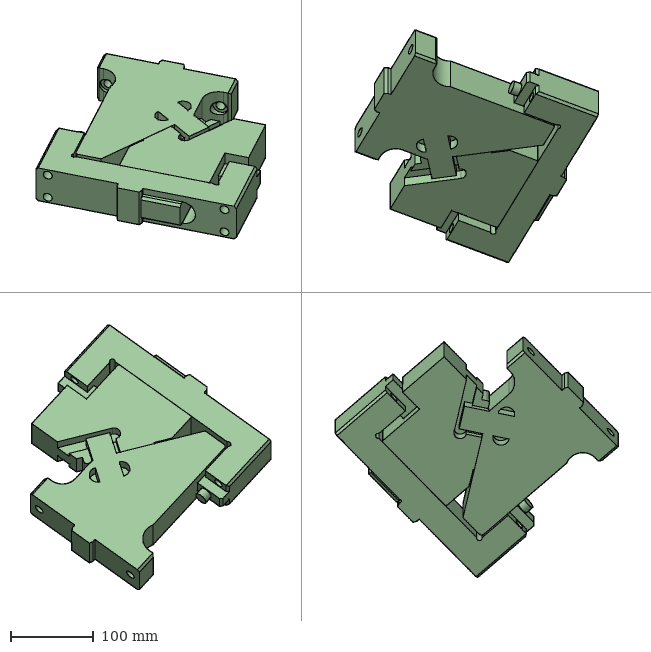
import cadquery as cq
import math

thickness = 50.0
half_thickness = thickness / 2
edge_chamfer = 3.0
tongue_thickness = 19.8
core_half = tongue_thickness / 2

key_width = 31.5
key_height = 8.2
key_lead_in_depth = 4.0
key_lead_in_width = 2.0

base_width = 255.0
base_floor = 35.2
arm_top = 82.8
arm_inner_left = 35.5
arm_inner_right = 219.5
relief_radius = 3.3
relief_inset = 1.8
bar_bottom = 70.5
bar_top = 95.3
base_key_center = 120.3
screw_hole_diameter = 11.3
screw_hole_inset = 15.2
screw_hole_height = 17.0
stop_pin_diameter = 16.0
stop_pin_top = 105.4
bolt_x = 24.0

slider_left = 95.0
slider_foot_right = 209.5
slider_right = 239.5
slider_shoulder = 97.0
slider_top = 165.0
slider_corner_chamfer = 1.3
slide_key_height = 32.5
slide_key_right = 186.0
slide_key_chamfer_width = 2.5
slide_slot_end = 202.8
nose_length = 11.3
nose_step = 10.0
nose_radius = 3.3
foot_relief = 1.5
contact_end_y = 92.5

flange_center = 95.0
flange_width = 170.1
flange_bottom = 210.7
driver_top = 240.5
driver_left = 37.3
driver_right = 150.5
driver_bottom = 40.3
driver_corner_chamfer = 2.0
neck_radius = 20.5
counterbore_diameter = 19.8
counterbore_floor = 215.0
bolt_hole_diameter = 11.8

slope_angle = 55.0
slope_foot_x = 70.2
hook_top = 1.5
hook_width = 30.0
hook_bottom = hook_top - hook_width
hook_reach = 29.3
hook_root = 5.1
lip_half = 16.7
lip_width = 19.5
slot_width = 15.0
slot_clearance = 5.0
lip_clearance = 5.0
corner_relief_radius = 10.0
corner_relief_setback = 22.5

slope_tan = math.tan(math.radians(slope_angle))
slope_cos = math.cos(math.radians(slope_angle))
slope_sin = math.sin(math.radians(slope_angle))
slope_head_y = driver_bottom + (driver_right - slope_foot_x) * slope_tan
past_slider = 51.5

joint_plane = cq.Plane(
    origin=(driver_right, slope_head_y, 0),
    xDir=(slope_sin, -slope_cos, 0),
    normal=(0, 0, 1),
)


def joint_point(across, along):
    """X and Y of a point given in the joint frame."""
    return (
        driver_right + across * slope_sin + along * slope_cos,
        slope_head_y - across * slope_cos + along * slope_sin,
    )


def slope_x(y, across=0.0):
    """X on the line parallel to the slope, offset into the slider, at a height Y."""
    return driver_right + (y - slope_head_y) / slope_tan + across / slope_sin


def box(x0, x1, y0, y1, half_height):
    """A box centred on the mid plane."""
    return (
        cq.Workplane("XY")
        .box(x1 - x0, y1 - y0, 2 * half_height)
        .translate(((x0 + x1) / 2, (y0 + y1) / 2, 0))
    )


def prism(points, half_height=half_thickness):
    """An outline in X and Y, extruded to both sides of the mid plane."""
    return cq.Workplane("XY").polyline(points).close().extrude(half_height, both=True)


def joint_layer(x0, x1, y0, y1, z_bottom):
    """A rectangle in the joint frame, from z_bottom up to the outer face."""
    return (
        cq.Workplane(joint_plane)
        .workplane(offset=z_bottom)
        .center((x0 + x1) / 2, (y0 + y1) / 2)
        .rect(x1 - x0, y1 - y0)
        .extrude(half_thickness - z_bottom)
    )


def both_sides(upper):
    """The shape above the mid plane and its mirror image below, as a list of solids."""
    return [upper, upper.mirror("XY")]


def along_y(x, z, diameter, y0, y1):
    """A cylinder along Y."""
    return (
        cq.Workplane("XZ", origin=(x, y0, z))
        .circle(diameter / 2)
        .extrude(y0 - y1)
    )


def locating_key(center_x, face_y, outward):
    """A key with lead-in chamfers on the mounting face at face_y, pointing to outward (+1 or -1)."""
    half = key_width / 2
    shoulder_y = face_y + outward * (key_height - key_lead_in_depth)
    tip_y = face_y + outward * key_height
    return prism([
        (center_x - half, face_y),
        (center_x - half, shoulder_y),
        (center_x - half + key_lead_in_width, tip_y),
        (center_x + half - key_lead_in_width, tip_y),
        (center_x + half, shoulder_y),
        (center_x + half, face_y),
    ])


def crossbar():
    """The tongue that joins the two arms of the base."""
    bar = box(0, base_width, bar_bottom, bar_top, core_half)
    return bar.edges("|Z and <X and >Y").chamfer(edge_chamfer)


def make_base():
    body = box(0, base_width, 0, arm_top, half_thickness)
    body = body.edges("|Z and <X and >Y").chamfer(edge_chamfer)
    body = body.faces("<X or >X").edges("|Y").chamfer(edge_chamfer)

    body = body.cut(box(arm_inner_left, arm_inner_right, base_floor, arm_top, half_thickness))
    relief_centers = [
        (arm_inner_left + relief_inset, base_floor + relief_inset),
        (arm_inner_right - relief_inset, base_floor + relief_inset),
    ]
    reliefs = cq.Workplane("XY").pushPoints(relief_centers).circle(relief_radius)
    body = body.cut(reliefs.extrude(half_thickness, both=True))

    body = body.union(crossbar()).union(locating_key(base_key_center, 0, -1))
    body = body.union(along_y(bolt_x, 0, stop_pin_diameter, bar_top, stop_pin_top))

    for x in (screw_hole_inset, base_width - screw_hole_inset):
        for z in (-screw_hole_height, screw_hole_height):
            body = body.cut(along_y(x, z, screw_hole_diameter, 0, arm_top))

    slot_left = base_key_center + key_width / 2
    slot_arc_x = slide_slot_end - slide_key_height / 2
    body = body.cut(box(slot_left, slot_arc_x, 0, base_floor, slide_key_height / 2))
    return body.cut(along_y(slot_arc_x, 0, slide_key_height, 0, base_floor))


def make_slide_key():
    """The key that reaches through the base and stands as proud as its locating key."""
    half = slide_key_height / 2
    left = base_key_center + key_width / 2
    shoulder_y = key_lead_in_depth - key_height
    return (
        cq.Workplane("YZ", origin=(left, 0, 0))
        .polyline([
            (base_floor, -half),
            (shoulder_y, -half),
            (-key_height, -half + slide_key_chamfer_width),
            (-key_height, half - slide_key_chamfer_width),
            (shoulder_y, half),
            (base_floor, half),
        ])
        .close()
        .extrude(slide_key_right - left)
    )


def make_slider():
    chamfer = slider_corner_chamfer
    relief_start = (slope_x(contact_end_y), contact_end_y)
    relief_step = (
        relief_start[0] + foot_relief * slope_sin,
        relief_start[1] - foot_relief * slope_cos,
    )
    relief_end_y = slope_head_y + (slider_left - driver_right - foot_relief / slope_sin) * slope_tan
    body = prism([
        (slider_left + chamfer, base_floor),
        (slider_foot_right - chamfer, base_floor),
        (slider_foot_right, base_floor + chamfer),
        (slider_foot_right, slider_shoulder),
        (slider_right, slider_shoulder),
        (slider_right, slider_top),
        (slope_x(slider_top, nose_step), slider_top),
        joint_point(nose_step, nose_length),
        joint_point(0, nose_length),
        relief_start,
        relief_step,
        (slider_left, relief_end_y),
        (slider_left, base_floor + chamfer),
    ])
    nose_tip = (*joint_point(0, nose_length), 0)
    body = body.edges(cq.selectors.NearestToPointSelector(nose_tip)).fillet(nose_radius)

    slot_far = lip_width + slot_width
    slot_center = lip_width + slot_width / 2
    slot_end = hook_bottom - slot_clearance
    recess = joint_layer(0, lip_width, hook_bottom - lip_clearance, past_slider, lip_half)
    slot = joint_layer(lip_width, slot_far, slot_end, past_slider, core_half)
    slot_round = (
        cq.Workplane(joint_plane)
        .workplane(offset=core_half)
        .center(slot_center, slot_end)
        .circle(slot_width / 2)
        .extrude(half_thickness - core_half)
    )
    for pocket in (recess, slot, slot_round):
        for side in both_sides(pocket):
            body = body.cut(side)

    return body.cut(crossbar()).union(make_slide_key())


def make_driver():
    flange_left = flange_center - flange_width / 2
    flange_right = flange_center + flange_width / 2
    flange = box(flange_left, flange_right, flange_bottom, driver_top, half_thickness)
    flange = flange.edges("|Z and <Y").chamfer(edge_chamfer)
    flange = flange.faces("<X or >X").edges("|Y").chamfer(edge_chamfer)

    neck_offset = driver_right + neck_radius - flange_center
    arc_y = flange_bottom - neck_radius
    neck_block = box(
        flange_center - neck_offset, flange_center + neck_offset, arc_y, flange_bottom, half_thickness
    )
    stem = prism([
        (driver_left + driver_corner_chamfer, driver_bottom),
        (slope_foot_x, driver_bottom),
        (driver_right, slope_head_y),
        (driver_right, flange_bottom),
        (driver_left, flange_bottom),
        (driver_left, driver_bottom + driver_corner_chamfer),
    ])
    neck_arcs = (
        cq.Workplane("XY")
        .pushPoints([(flange_center - neck_offset, arc_y), (flange_center + neck_offset, arc_y)])
        .circle(neck_radius)
        .extrude(half_thickness, both=True)
    )
    body = flange.union(neck_block).union(stem).cut(neck_arcs)
    body = body.union(locating_key(flange_center, driver_top, 1))

    for x in (bolt_x, 2 * flange_center - bolt_x):
        body = body.cut(along_y(x, 0, counterbore_diameter, arc_y, counterbore_floor))
        body = body.cut(along_y(x, 0, bolt_hole_diameter, arc_y, driver_top))

    plate = joint_layer(-hook_root, hook_reach, hook_bottom, hook_top, lip_half)
    toe = joint_layer(lip_width, hook_reach, hook_bottom, hook_top, core_half)
    for side in both_sides(plate) + both_sides(toe):
        body = body.union(side)

    relief = (
        cq.Workplane(joint_plane)
        .workplane(offset=core_half)
        .pushPoints([(-corner_relief_setback, hook_top), (-corner_relief_setback, hook_bottom)])
        .circle(corner_relief_radius)
        .extrude(half_thickness - core_half)
    )
    root_left = -corner_relief_setback - corner_relief_radius
    relief = relief.cut(joint_layer(root_left, 0, hook_bottom, hook_top, core_half))
    for side in both_sides(relief):
        body = body.cut(side)

    return body.cut(crossbar())


base = make_base().solids().val()
slider = make_slider().solids().val()
driver = make_driver().solids().val()

result = cq.Compound.makeCompound([base, slider, driver])